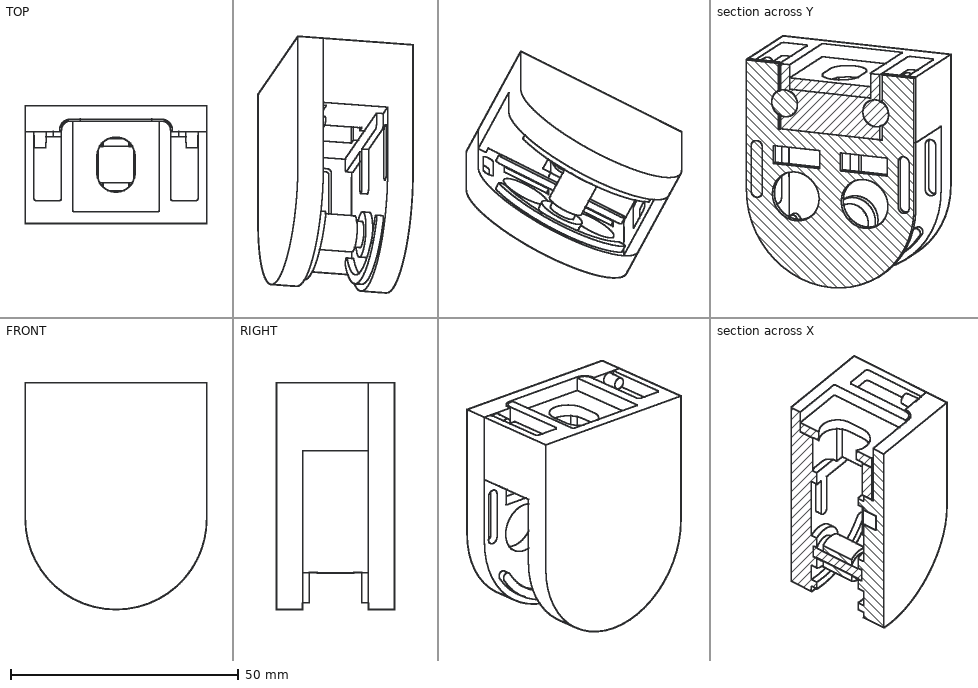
import cadquery as cq
import math


width = 40.0
depth = 26.0
height = 50.0
plate_thickness = 5.75
block_bottom_z = 35.0
outline_radius = width / 2
front_y = -depth / 2
back_y = depth / 2
gap_half = depth / 2 - plate_thickness

tongue_half_width = 12.0
tongue_end_y = 9.6
tongue_corner_radius = 2.0
tongue_clearance = 0.4

pocket_depth = 3.0
pocket_floor_z = height - pocket_depth
side_pocket_outer_x = 18.1
side_pocket_front_y = -7.95
side_pocket_corner_radius = 0.6
insert_half_width = 9.55
insert_front_y = -10.35
insert_corner_radius = 0.3
insert_thickness = 2.6
insert_bottom_z = pocket_floor_z - insert_thickness
bolt_slot_length = 12.1
bolt_slot_width = 8.3

clearance_half_width = 5.25
clearance_half_depth = 4.75
notch_half_width = 3.3
notch_corner_radius = 2.0
relief_depth = 1.1

peg_x = 16.7
peg_z = pocket_floor_z + pocket_depth / 2
peg_base_radius = 1.4
peg_tip_radius = 1.25
peg_length = 3.5

rib_height = 1.5
rib_width = 2.0
rib_half_length = 15.6
rib_center_z = 32.6
rib_stem_bottom_z = 21.6
arc_rib_radius = 17.5
arc_rib_end_angle = 57.0
pin_boss_radius = 5.0

pin_z = 12.0
pin_radius = 2.9
pin_seat_depth = 1.0
sleeve_radius = 4.0
sleeve_length = 8.0

screw_radius = 3.0
screw_x = 10.85
screw_z = 41.0
screw_start_y = 0.0
screw_end_y = 10.75

round_recess_x = 8.2
round_recess_z = 20.0
round_recess_radius = 5.5
recess_depth = 3.5
window_outer_x = 13.5
window_inner_x = 2.5
window_bottom_z = 27.0
window_top_z = 31.0

stop_inner_x = 16.1
slot_x = 17.5
slot_width = 2.5
slot_bottom_z = 18.9
slot_top_z = 31.7
slot_depth = 2.0
stop_pocket_width = 5.4
stop_pocket_bottom_z = 15.25
stop_pocket_top_z = 32.5
stop_pocket_corner_radius = 1.0
stop_pocket_depth = 1.5
stop_pocket_draft = 8.0


def xz_plane(y):
    """Sketch plane at the given Y, with X to the right, Z up and extrusion toward +Y."""
    return cq.Workplane(cq.Plane(origin=(0, y, 0), xDir=(-1, 0, 0), normal=(0, 1, 0)))


def box(x_range, y_range, z_range):
    size = [high - low for low, high in (x_range, y_range, z_range)]
    corner = (x_range[0], y_range[0], z_range[0])
    return cq.Workplane("XY").box(*size, centered=False).translate(corner)


def rod(radius, x, z, y_range):
    """Cylinder along Y."""
    return xz_plane(y_range[0]).center(-x, z).circle(radius).extrude(y_range[1] - y_range[0])


def d_plate(y_range):
    """D outline: square at the top and a half circle at the bottom."""
    straight = box((-width / 2, width / 2), y_range, (outline_radius, height))
    return straight.union(rod(outline_radius, 0, outline_radius, y_range))


def tongue_block(half_width, end_y, corner_radius):
    block = box((-half_width, half_width), (0, end_y), (block_bottom_z, height))
    return block.edges("|Z and >Y").fillet(corner_radius)


def mirrored_y(body):
    return body.mirror("XZ")


def cover_side_ribs():
    """T rib, curved rib and pin boss, standing toward -Y from the inner face of the cover."""
    y_range = (gap_half - rib_height, gap_half)
    start = xz_plane(y_range[0])
    stem_top_z = rib_center_z + rib_width / 2
    stem_length = stem_top_z - rib_stem_bottom_z

    bar = start.center(0, rib_center_z).slot2D(2 * rib_half_length, rib_width).extrude(rib_height)
    stem = start.center(0, stem_top_z - stem_length / 2).slot2D(stem_length, rib_width, 90).extrude(rib_height)

    angle = math.radians(arc_rib_end_angle)
    end_x = arc_rib_radius * math.sin(angle)
    end_z = outline_radius - arc_rib_radius * math.cos(angle)
    inner_radius = arc_rib_radius - rib_width / 2
    outer_radius = arc_rib_radius + rib_width / 2

    def on_arc(radius, side):
        return (side * radius * math.sin(angle), outline_radius - radius * math.cos(angle))

    curved = (
        start.moveTo(*on_arc(outer_radius, -1))
        .threePointArc((0, outline_radius - outer_radius), on_arc(outer_radius, 1))
        .lineTo(*on_arc(inner_radius, 1))
        .threePointArc((0, outline_radius - inner_radius), on_arc(inner_radius, -1))
        .close()
        .extrude(rib_height)
    )
    for side in (-1, 1):
        curved = curved.union(rod(rib_width / 2, side * end_x, end_z, y_range))

    boss = rod(pin_boss_radius, 0, pin_z, y_range)
    return bar.union(stem).union(curved).union(boss)


def stop_tab(side):
    """Round-ended tab going into the inner face of the cover at the left or right edge."""
    length = slot_top_z - slot_bottom_z
    center_z = (slot_top_z + slot_bottom_z) / 2
    return (
        xz_plane(gap_half).center(-side * slot_x, center_z)
        .slot2D(length, slot_width, 90).extrude(slot_depth)
    )


ribs = cover_side_ribs()
slots = stop_tab(-1).union(stop_tab(1))


def make_pin():
    pin_half_length = gap_half - rib_height + pin_seat_depth
    return rod(pin_radius, 0, pin_z, (-pin_half_length, pin_half_length))


def make_sleeve(pin):
    return rod(sleeve_radius, 0, pin_z, (-sleeve_length / 2, sleeve_length / 2)).cut(pin)


def make_screw(side):
    return rod(screw_radius, side * screw_x, screw_z, (screw_start_y, screw_end_y))


pin = make_pin()
sleeve = make_sleeve(pin)
screws = [make_screw(side) for side in (-1, 1)]


def insert_blank(z_range):
    blank = box((-insert_half_width, insert_half_width), (insert_front_y, tongue_end_y), z_range)
    return blank.edges("|Z and <Y").fillet(insert_corner_radius)


def make_insert():
    bolt_slot = (
        cq.Workplane("XY", origin=(0, 0, insert_bottom_z))
        .slot2D(bolt_slot_length, bolt_slot_width, 90).extrude(insert_thickness)
    )
    return insert_blank((insert_bottom_z, pocket_floor_z)).cut(bolt_slot)


insert = make_insert()


def bolt_clearance():
    """Cross-shaped opening from the insert down to the pane gap."""
    z_range = (block_bottom_z, insert_bottom_z)
    wide = box(
        (-clearance_half_width, clearance_half_width),
        (-clearance_half_depth, clearance_half_depth),
        z_range,
    )
    notch = box((-notch_half_width, notch_half_width), (-gap_half, gap_half), z_range)
    return wide.union(notch.edges("|Z").fillet(notch_corner_radius))


def side_pocket():
    pocket = box(
        (tongue_half_width, side_pocket_outer_x),
        (side_pocket_front_y, gap_half),
        (pocket_floor_z, height),
    )
    relief = box(
        (tongue_half_width, side_pocket_outer_x),
        (gap_half - relief_depth, gap_half),
        (block_bottom_z, height),
    )
    return pocket.edges("|Z and <Y").fillet(side_pocket_corner_radius).union(relief)


def rib_backing():
    """Web joining the upper half of the housing's T rib to the underside of the block."""
    return box(
        (-rib_half_length, rib_half_length),
        (-gap_half, rib_height - gap_half),
        (rib_center_z, block_bottom_z),
    )


def make_housing():
    block = box((-width / 2, width / 2), (-gap_half, gap_half), (block_bottom_z, height))
    body = d_plate((front_y, -gap_half)).union(block)
    body = body.union(tongue_block(tongue_half_width, tongue_end_y, tongue_corner_radius))
    body = body.union(mirrored_y(ribs)).union(rib_backing()).cut(mirrored_y(slots))
    body = body.cut(insert_blank((insert_bottom_z, height))).cut(bolt_clearance())
    pocket = side_pocket()
    body = body.cut(pocket).cut(pocket.mirror("YZ"))
    body = body.cut(pin)
    for screw in screws:
        body = body.cut(screw)
    return body


housing = make_housing()


def make_peg(side):
    return cq.Workplane(obj=cq.Solid.makeCone(
        peg_base_radius, peg_tip_radius, peg_length,
        pnt=cq.Vector(side * peg_x, gap_half, peg_z), dir=cq.Vector(0, -1, 0),
    ))


def cover_recesses(side):
    y_range = (gap_half, gap_half + recess_depth)
    window_x = sorted((side * window_inner_x, side * window_outer_x))
    window = box(window_x, y_range, (window_bottom_z, window_top_z))
    return window.union(rod(round_recess_radius, side * round_recess_x, round_recess_z, y_range))


def make_cover():
    tongue_recess = tongue_block(
        tongue_half_width + tongue_clearance,
        tongue_end_y + tongue_clearance,
        tongue_corner_radius + tongue_clearance,
    )
    body = d_plate((gap_half, back_y)).cut(tongue_recess).cut(slots)
    for side in (-1, 1):
        body = body.cut(cover_recesses(side))
    body = body.union(ribs).cut(pin)
    for side in (-1, 1):
        body = body.union(make_peg(side))
    for screw in screws:
        body = body.cut(screw)
    return body


cover = make_cover()


def make_end_stop():
    """Wall closing the +X end of the gap, held by a tab in each plate."""
    wall = d_plate((-gap_half, gap_half)).intersect(
        box((stop_inner_x, width / 2), (-gap_half, gap_half), (0, block_bottom_z))
    )
    tab = stop_tab(1)
    pocket_height = stop_pocket_top_z - stop_pocket_bottom_z
    pocket_center = (stop_inner_x, 0, (stop_pocket_top_z + stop_pocket_bottom_z) / 2)
    pocket = (
        cq.Workplane("YZ", origin=pocket_center)
        .sketch().rect(stop_pocket_width, pocket_height).vertices().fillet(stop_pocket_corner_radius)
        .finalize().extrude(stop_pocket_depth, taper=stop_pocket_draft)
    )
    return wall.union(tab).union(mirrored_y(tab)).cut(pocket)


end_stop = make_end_stop()

result = cq.Compound.makeCompound([
    housing.val(),
    cover.val(),
    insert.val(),
    end_stop.val(),
    pin.val(),
    sleeve.val(),
    *[screw.val() for screw in screws],
])